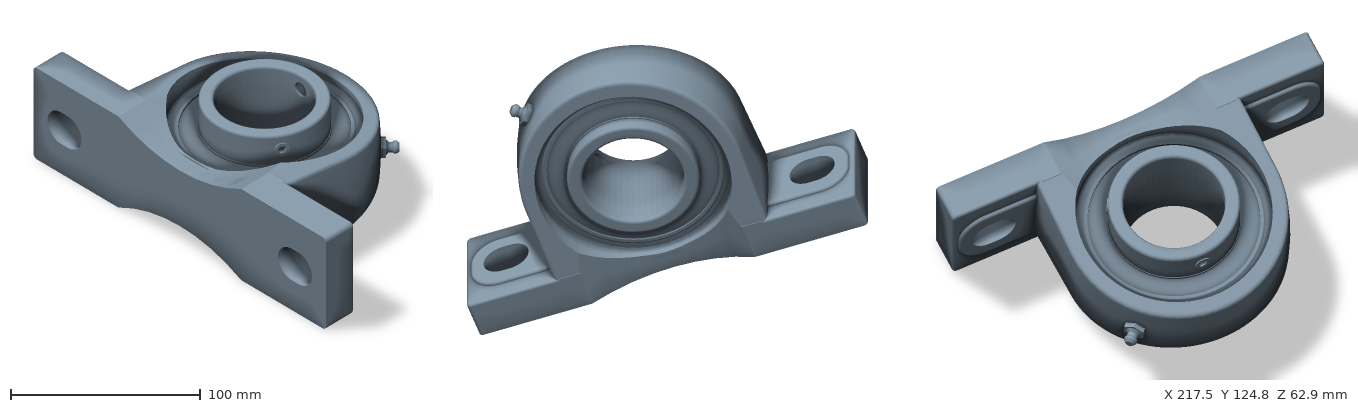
import cadquery as cq

foot_length = 217.5
foot_depth = 59.8
foot_height = 20.9
axis_height = 63.5
foot_corner_radius = 2.6
foot_rim_radius = 1.5
waist_width = 91.1
waist_depth = 11.7
waist_edge_radius = 2.6
foot_bottom = -axis_height
foot_top = foot_bottom + foot_height
half_foot_depth = foot_depth / 2

pad_end = 105.7
pad_depth = 38.3
pad_rise = 2.0
pad_corner_radius = 15.9
pad_rim_radius = 1.7
slot_spacing = 171.4
slot_length = 25.2
slot_width = 20.7

boss_radius = 61.3
boss_crown = 2.2
boss_root_depth = 59.2
boss_tip_depth = 33.0
boss_rim_radius = 2.2
boss_root = foot_top - foot_rim_radius

bearing_opening_diameter = 104.2
bearing_seat_diameter = 102.7
outer_ring_width = 25.0
outer_ring_bore = 89.0
seal_diameter = 96.5
seal_seat_depth = 2.6
inner_ring_diameter = 69.8
inner_ring_bore = 54.0
inner_ring_top = 33.0
inner_ring_bottom = -22.2
inner_ring_edge_radius = 1.7

seal_bevel = 0.9
seal_rise = 0.7
seal_disc_diameter = 91.4
seal_disc_drop = 0.7
seal_cone_rise = 1.3
seal_collar_diameter = 71.0
seal_collar_rise = 1.0

screw_diameter = 8.5
screw_height = 23.7
screw_outer_radius = 35.5
screw_inner_radius = 28.7
screw_socket_flats = 4.4
screw_socket_depth = 2.6
screw_angles = (90.0, -30.0)

nipple_angle = 45.0
nipple_shank_diameter = 8.0
nipple_shank_bottom = 55.5
nipple_hex_bottom = 61.3
nipple_hex_top = 64.0
nipple_hex_flats = 10.7
nipple_hex_turn = 30.0
nipple_cone_diameter = 8.5
nipple_cone_top = 65.2
nipple_neck_diameter = 5.7
nipple_neck_top = 67.5
nipple_head_bottom = 68.0
nipple_head_shoulder = 69.5
nipple_head_diameter = 7.0
nipple_head_top = 71.1
nipple_tip_diameter = 4.4


def cylinder(diameter, bottom, top):
    return cq.Workplane("XY").workplane(offset=bottom).circle(diameter / 2).extrude(top - bottom)


def hexagonal_prism(flats, bottom, top):
    """Hexagon with two of its flats facing -Y and +Y and two of its corners on the X axis."""
    prism = cq.Workplane("XY").workplane(offset=bottom).polygon(6, flats, circumscribed=True)
    return prism.extrude(top - bottom)


def aim(body, angle, height):
    """Turn a body built along +Z so that it points outward from the bearing axis at an angle."""
    level = body.rotate((0, 0, 0), (0, 1, 0), 90)
    return level.rotate((0, 0, 0), (0, 0, 1), angle).translate((0, 0, height))


def along_y(bottom):
    """Sketch plane for shapes extruded in +Y: its x is X and its y is -Z."""
    return cq.Workplane("ZX", origin=(0, bottom, 0)).transformed(rotate=(0, 0, 90))


def waist_cutter():
    half_width = waist_width / 2
    radius = (half_width**2 + waist_depth**2) / (2 * waist_depth)
    centre = half_foot_depth - waist_depth + radius
    cutter = along_y(foot_bottom).pushPoints([(0, centre), (0, -centre)]).circle(radius)
    return cutter.extrude(2 * axis_height)


def make_foot():
    foot = along_y(foot_bottom).rect(foot_length, foot_depth).extrude(foot_height)
    foot = foot.edges("|Y").fillet(foot_corner_radius)
    foot = foot.cut(waist_cutter())
    margin = 2.2
    half_width = waist_width / 2 + margin
    waist_edges = cq.selectors.BoxSelector(
        (-half_width, foot_bottom - margin, -foot_depth), (half_width, foot_top + margin, foot_depth)
    )
    foot = foot.edges("|Y").edges(waist_edges).fillet(waist_edge_radius)
    return foot.faces(">Y").edges().fillet(foot_rim_radius)


def make_pads():
    """One long raised block whose two ends show as pads on both sides of the boss."""
    pad = along_y(foot_bottom + foot_height / 2).rect(2 * pad_end, pad_depth)
    pad = pad.extrude(foot_height / 2 + pad_rise)
    pad = pad.edges("|Y").fillet(pad_corner_radius)
    return pad.faces(">Y").edges().fillet(pad_rim_radius)


def boss_half_section():
    crown_edge = boss_radius - boss_crown
    return (
        cq.Workplane("XZ")
        .moveTo(0, -half_foot_depth)
        .lineTo(crown_edge, -half_foot_depth)
        .threePointArc((boss_radius, 0), (crown_edge, half_foot_depth))
        .lineTo(0, half_foot_depth)
        .close()
    )


def make_boss():
    """Round-topped boss with crowned sides, thinning from its root to its tip."""
    cap = boss_half_section().revolve(180, (0, 0), (0, 1))
    flank = boss_half_section().extrude(axis_height)
    blank = cap.union(flank).union(flank.mirror("YZ"))
    half_tip = boss_tip_depth / 2
    half_root = boss_root_depth / 2
    wedge = (
        cq.Workplane("YZ")
        .polyline(
            [
                (boss_root, -half_root),
                (foot_top, -half_root),
                (boss_radius, -half_tip),
                (boss_radius, half_tip),
                (foot_top, half_root),
                (boss_root, half_root),
            ]
        )
        .close()
        .extrude(boss_radius, both=True)
    )
    boss = blank.intersect(wedge)
    rim_start = 0.9 * foot_top
    rim_level = 0.45 * boss_tip_depth
    upper_rim = cq.selectors.BoxSelector(
        (-boss_radius, rim_start, rim_level), (boss_radius, boss_radius, half_foot_depth)
    )
    lower_rim = cq.selectors.BoxSelector(
        (-boss_radius, rim_start, -half_foot_depth), (boss_radius, boss_radius, -rim_level)
    )
    return boss.edges(upper_rim + lower_rim).fillet(boss_rim_radius)


def make_boss_shoulder():
    """Square-edged block that replaces the rounded rim of the foot below the boss."""
    width = 2 * (boss_radius - boss_crown - boss_rim_radius)
    return along_y(boss_root).rect(width, foot_depth).extrude(foot_rim_radius)


def make_seat_opening(side):
    """Wider bore above (side = 1) or below (side = -1) the bearing, with a tapered floor."""
    taper = (bearing_opening_diameter - bearing_seat_diameter) / 2
    opening = cylinder(bearing_opening_diameter, outer_ring_width / 2, half_foot_depth)
    opening = opening.faces("<Z").chamfer(taper)
    return opening if side > 0 else opening.mirror("XY")


def make_housing():
    waisted_boss = make_boss().union(make_boss_shoulder()).cut(waist_cutter())
    housing = make_foot().union(make_pads()).union(waisted_boss)
    slots = along_y(foot_bottom).pushPoints([(-slot_spacing / 2, 0), (slot_spacing / 2, 0)])
    slots = slots.slot2D(slot_length, slot_width).extrude(foot_height + pad_rise)
    housing = housing.cut(slots)
    housing = housing.cut(cylinder(bearing_seat_diameter, -half_foot_depth, half_foot_depth))
    for side in (1, -1):
        housing = housing.cut(make_seat_opening(side))
    socket = cylinder(nipple_shank_diameter, nipple_shank_bottom, nipple_hex_bottom)
    clearance = hexagonal_prism(nipple_hex_flats, nipple_hex_bottom, nipple_hex_top)
    clearance = clearance.rotate((0, 0, 0), (0, 0, 1), nipple_hex_turn)
    return housing.cut(aim(socket.union(clearance), nipple_angle, 0))


def make_outer_ring():
    half_width = outer_ring_width / 2
    ring = cylinder(bearing_seat_diameter, -half_width, half_width)
    ring = ring.cut(cylinder(outer_ring_bore, -half_width, half_width))
    seat_bottom = half_width - seal_seat_depth
    for side in (1, -1):
        seat = cylinder(seal_diameter, side * seat_bottom, side * half_width)
        ring = ring.cut(seat)
    return ring


def make_inner_ring():
    ring = cylinder(inner_ring_diameter, inner_ring_bottom, inner_ring_top)
    ring = ring.cut(cylinder(inner_ring_bore, inner_ring_bottom, inner_ring_top))
    ring = ring.edges("%CIRCLE").fillet(inner_ring_edge_radius)
    for angle in screw_angles:
        hole = cylinder(screw_diameter, 0, inner_ring_diameter)
        ring = ring.cut(aim(hole, angle, screw_height))
    return ring


def make_seal(side):
    """Seal on the top (side = 1) or bottom (side = -1) of the outer ring."""
    ring_face = outer_ring_width / 2
    bottom = ring_face - seal_seat_depth
    rim = ring_face + seal_rise
    disc = ring_face - seal_disc_drop
    cone_top = disc + seal_cone_rise
    collar_top = cone_top + seal_collar_rise
    section = [
        (inner_ring_diameter / 2, bottom),
        (seal_diameter / 2, bottom),
        (seal_diameter / 2, ring_face),
        (seal_diameter / 2 - seal_bevel, rim),
        (seal_disc_diameter / 2, rim),
        (seal_disc_diameter / 2, disc),
        (seal_collar_diameter / 2, cone_top),
        (seal_collar_diameter / 2, collar_top),
        (inner_ring_diameter / 2, collar_top),
    ]
    outline = [(radius, side * height) for radius, height in section]
    return cq.Workplane("XZ").polyline(outline).close().revolve(360, (0, 0), (0, 1))


def make_set_screw(angle):
    screw = cylinder(screw_diameter, screw_inner_radius, screw_outer_radius)
    socket = hexagonal_prism(
        screw_socket_flats, screw_outer_radius - screw_socket_depth, screw_outer_radius
    )
    return aim(screw.cut(socket), angle, screw_height)


def make_grease_nipple():
    """Nipple with a shank in the housing, a hexagon with corners along Z, and a grooved head."""
    shank = cylinder(nipple_shank_diameter, nipple_shank_bottom, nipple_hex_bottom)
    hexagon = hexagonal_prism(nipple_hex_flats, nipple_hex_bottom, nipple_hex_top)
    hexagon = hexagon.rotate((0, 0, 0), (0, 0, 1), nipple_hex_turn)
    profile = [
        (0, nipple_hex_top),
        (nipple_cone_diameter / 2, nipple_hex_top),
        (nipple_neck_diameter / 2, nipple_cone_top),
        (nipple_neck_diameter / 2, nipple_neck_top),
        (nipple_head_diameter / 2, nipple_head_bottom),
        (nipple_head_diameter / 2, nipple_head_shoulder),
        (nipple_tip_diameter / 2, nipple_head_top),
        (0, nipple_head_top),
    ]
    head = cq.Workplane("XZ").polyline(profile).close().revolve(360, (0, 0), (0, 1))
    return aim(shank.union(hexagon).union(head), nipple_angle, 0)


housing = make_housing()
outer_ring = make_outer_ring()
inner_ring = make_inner_ring()
seals = [make_seal(side) for side in (1, -1)]
set_screws = [make_set_screw(angle) for angle in screw_angles]
grease_nipple = make_grease_nipple()

result = cq.Compound.makeCompound(
    [
        housing.val(),
        outer_ring.val(),
        inner_ring.val(),
        *[seal.val() for seal in seals],
        *[screw.val() for screw in set_screws],
        grease_nipple.val(),
    ]
)